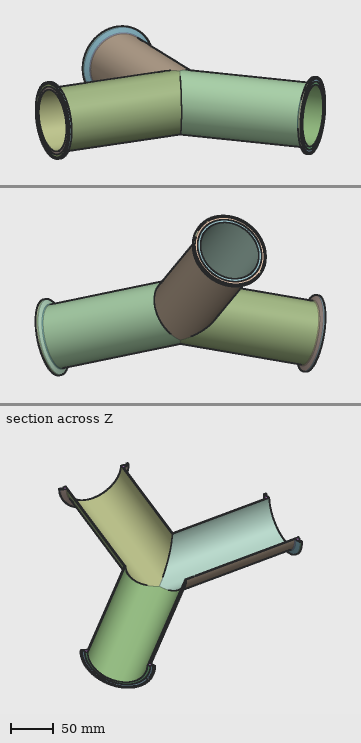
import cadquery as cq
import math

overall_length = 313.8
branch_angle = 45.0
tube_diameter = 76.2
bore_diameter = 72.8

ferrule_length = 13.0
flange_diameter = 91.0
rim_thickness = 2.8
flange_taper = 20.0
rim_edge_radius = 0.5
neck_radius = 1.3

groove_diameter = 83.5
groove_width = 3.5
groove_depth = 1.3
groove_edge_radius = 0.3

tube_radius = tube_diameter / 2
flange_radius = flange_diameter / 2
groove_radius = groove_diameter / 2
branch_cosine = math.cos(math.radians(branch_angle))
branch_sine = math.sin(math.radians(branch_angle))

arm_headings = (0, 180 - branch_angle, 180 + branch_angle)
arm_length = (overall_length - flange_radius * branch_sine) / (1 + branch_cosine)
ferrule_start = arm_length - ferrule_length
rim_back = arm_length - rim_thickness
neck = rim_back - (flange_radius - tube_radius) * math.tan(math.radians(flange_taper))


def revolve_about_arm(profile):
    """Revolve a profile, drawn as (distance along the arm, radius), about the arm axis."""
    return profile.close().revolve(360, (0, 0, 0), (1, 0, 0))


def along_arm(shape, heading):
    """Turn a shape built along +X to the heading of an arm."""
    return shape.rotate((0, 0, 0), (0, 0, 1), heading)


def cylinder_on_arm(diameter, start, end):
    """Solid cylinder along +X between two distances from the centre of the Y."""
    return cq.Workplane("YZ", origin=(start, 0, 0)).circle(diameter / 2).extrude(end - start)


def edges_at(distance):
    """Selector for the circular edges centred at a distance along the +X arm."""
    span = 0.03
    reach = flange_diameter
    return cq.selectors.BoxSelector((distance - span, -reach, -reach), (distance + span, reach, reach))


def arm_sector(index):
    """Wedge around one arm, bounded by the planes halfway to its neighbours."""
    heading = arm_headings[index]
    gap_before = (heading - arm_headings[index - 1]) % 360
    gap_after = (arm_headings[(index + 1) % len(arm_headings)] - heading) % 360
    reach = 2 * arm_length
    corners = [(0, 0)]
    for angle in (heading - gap_before / 2, heading, heading + gap_after / 2):
        corners.append((reach * math.cos(math.radians(angle)), reach * math.sin(math.radians(angle))))
    return cq.Workplane("XY").polyline(corners).close().extrude(tube_diameter, both=True)


def mitred_pipe(diameter, end):
    """Three solid cylinders that meet on the planes halfway between the arms."""
    pipe = None
    for index, heading in enumerate(arm_headings):
        cylinder = along_arm(cylinder_on_arm(diameter, -arm_length, end), heading)
        arm = cylinder.intersect(arm_sector(index))
        pipe = arm if pipe is None else pipe.union(arm)
    return pipe


def ferrule():
    """Solid tube end with its tapered clamp flange and gasket groove."""
    body = revolve_about_arm(
        cq.Workplane("XY")
        .moveTo(ferrule_start, 0)
        .lineTo(ferrule_start, tube_radius)
        .lineTo(neck, tube_radius)
        .lineTo(rim_back, flange_radius)
        .lineTo(arm_length, flange_radius)
        .lineTo(arm_length, 0)
    )
    body = body.edges(edges_at(neck)).fillet(neck_radius)
    body = body.edges(edges_at(rim_back)).fillet(rim_edge_radius)
    groove = revolve_about_arm(
        cq.Workplane("XY")
        .moveTo(arm_length, groove_radius - groove_width / 2)
        .threePointArc(
            (arm_length - groove_depth, groove_radius),
            (arm_length, groove_radius + groove_width / 2),
        )
    )
    body = body.cut(groove)
    groove_rims = edges_at(arm_length) - cq.selectors.RadiusNthSelector(-1)
    return body.edges(groove_rims).fillet(groove_edge_radius)


result = mitred_pipe(tube_diameter, ferrule_start)
for arm_heading in arm_headings:
    result = result.union(along_arm(ferrule(), arm_heading))
result = result.cut(mitred_pipe(bore_diameter, arm_length))